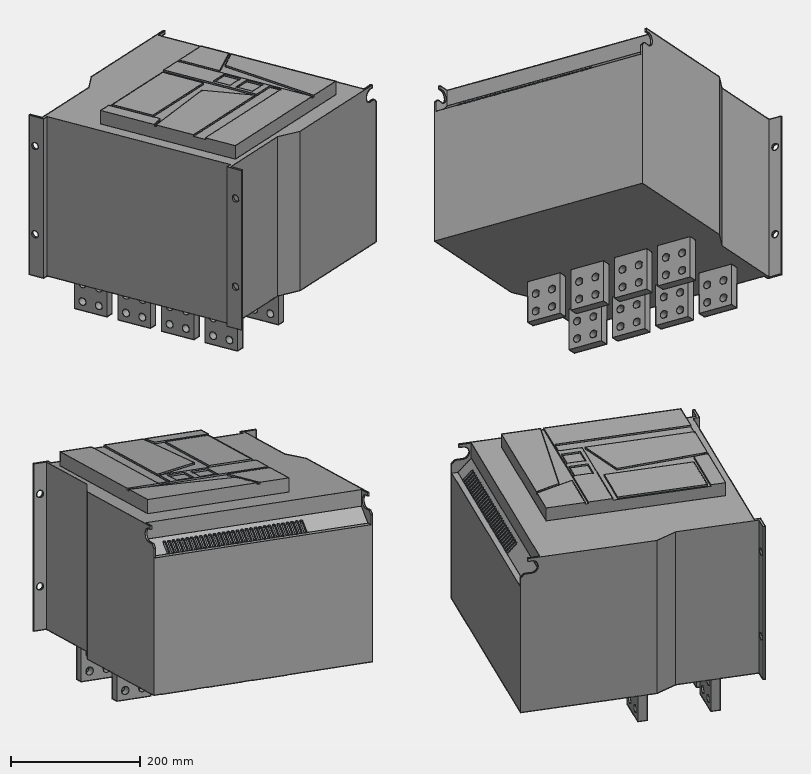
import cadquery as cq
import math


width = 390.0
depth = 394.0
height = 363.0

terminal_drop = 69.5
housing_height = 270.5
housing_top = terminal_drop + housing_height
rear_width = 383.8
front_width = 346.7
taper_front_y = 138.3
taper_rear_y = 174.0

flange_thickness = 4.0
bracket_wall = 5.0
bracket_projection = 10.2
flange_hole_diameter = 12.0
flange_hole_spacing = 368.5
flange_hole_heights = (140.3, 290.0)

side_wall = 3.0
recess_front_y = 362.5
ledge_front_y = 384.0
notch_lip = 5.0
notch_width = 21.5
notch_center_y = 376.3
lip_end_y = 382.0
notch_chamfer = 6.0
notch_floor_z = housing_top - notch_lip - notch_width
slope_run = ledge_front_y - recess_front_y
ledge_z = notch_floor_z - slope_run

vent_count = 31
vent_pitch = 8.0
vent_width = 5.0
vent_length = 23.0
vent_depth = 4.0

terminal_width = 60.0
terminal_thickness = 15.5
terminal_pitch = 80.0
terminals_per_row = 4
terminal_row_fronts = (59.5, 177.3)
terminal_hole_diameter = 12.5
terminal_hole_pitch = 30.0
terminal_hole_center_z = 30.5

panel_left = -83.5
panel_right = 164.0
panel_front = 31.5
panel_rear = 321.0
panel_base_height = 20.0
panel_base_top = housing_top + panel_base_height
plate_height = height - panel_base_top
panel_center_x = (panel_left + panel_right) / 2

rear_plates_front = 257.5
middle_plate_rear = 253.0
middle_plate_front = 213.0
channel_left = 87.0
channel_right = 108.7
channel_rear = 251.5
channel_corner_radius = 3.5
display_left, display_right = -80.8, -5.5
display_front, display_rear = 60.0, 205.0
window_size = 30.5
window_lefts = (4.0, 45.5)
window_front = 219.5
window_rear = window_front + window_size
front_left_plate_rear = 55.0
rear_left_outline = [
    (panel_left, panel_rear),
    (-32.7, panel_rear),
    (-9.5, rear_plates_front),
    (panel_left, rear_plates_front),
]
rear_right_outline = [
    (-29.0, panel_rear),
    (-13.5, 279.7),
    (panel_right, rear_plates_front),
    (panel_right, panel_rear),
]
front_center_outline = [
    (channel_left, 209.0),
    (7.5, 180.5),
    (18.0, panel_front),
    (channel_left, panel_front),
]
front_left_outline = [
    (panel_left, front_left_plate_rear),
    (10.5, front_left_plate_rear),
    (15.0, panel_front),
    (panel_left, panel_front),
]
plate_outlines = (rear_left_outline, rear_right_outline, front_center_outline, front_left_outline)


def box(x_range, y_range, z_range):
    """Box spanning the given (low, high) ranges."""
    sizes = [high - low for low, high in (x_range, y_range, z_range)]
    corner = (x_range[0], y_range[0], z_range[0])
    return cq.Workplane("XY").box(*sizes, centered=False).translate(corner)


def make_housing():
    """Tapered housing with an outward flange at each front corner."""
    half_rear = rear_width / 2
    half_front = front_width / 2
    half_inner = half_front - bracket_wall
    right_half = [
        (0, bracket_projection),
        (half_inner, bracket_projection),
        (half_inner, 0),
        (width / 2, 0),
        (width / 2, flange_thickness),
        (half_front, flange_thickness),
        (half_front, taper_front_y),
        (half_rear, taper_rear_y),
        (half_rear, depth),
        (0, depth),
    ]
    return (
        cq.Workplane("XY", origin=(0, 0, terminal_drop))
        .polyline(right_half)
        .mirrorY()
        .extrude(housing_height)
    )


def make_flange_holes():
    """Cutter for the mounting holes through the front flanges."""
    points = [(side * flange_hole_spacing / 2, z) for side in (-1, 1) for z in flange_hole_heights]
    return (
        cq.Workplane("XZ")
        .pushPoints(points)
        .circle(flange_hole_diameter / 2)
        .extrude(-flange_thickness)
    )


def make_rear_recess():
    """Cutter between the side walls: upright face, 45 degree slope and rear ledge."""
    half_length = rear_width / 2 - side_wall
    profile = [
        (recess_front_y, housing_top),
        (recess_front_y, notch_floor_z),
        (ledge_front_y, ledge_z),
        (depth, ledge_z),
        (depth, housing_top),
    ]
    return cq.Workplane("YZ").polyline(profile).close().extrude(half_length, both=True)


def make_side_notch():
    """Cutter for the round-ended notch and chamfer at the rear top of both side walls."""
    notch_top_z = housing_top - notch_lip
    radius = notch_width / 2
    return (
        cq.Workplane("YZ")
        .moveTo(lip_end_y, housing_top)
        .lineTo(lip_end_y, notch_top_z)
        .lineTo(notch_center_y, notch_top_z)
        .threePointArc((notch_center_y - radius, notch_top_z - radius), (notch_center_y, notch_floor_z))
        .lineTo(depth - notch_chamfer, notch_floor_z)
        .lineTo(depth, notch_floor_z - notch_chamfer)
        .lineTo(depth, housing_top)
        .close()
        .extrude(width / 2, both=True)
    )


def make_vents():
    """Cutter for the row of vent slots, sunk square to the slope."""
    slope_length = slope_run * math.sqrt(2)
    slope_plane = cq.Plane(
        origin=(panel_center_x, recess_front_y, notch_floor_z),
        xDir=(1, 0, 0),
        normal=(0, 1, 1),
    )
    return (
        cq.Workplane(slope_plane)
        .center(0, slope_length - vent_length / 2)
        .rarray(vent_pitch, 4, vent_count, 1)
        .slot2D(vent_length, vent_width, 90)
        .extrude(-vent_depth)
    )


def make_terminals():
    """Two rows of flat terminal bars, each drilled with a square of four holes."""
    row_span = (terminals_per_row - 1) * terminal_pitch
    centers = [i * terminal_pitch - row_span / 2 for i in range(terminals_per_row)]
    bars = cq.Workplane("XY")
    for row_front in terminal_row_fronts:
        y_range = (row_front, row_front + terminal_thickness)
        for center_x in centers:
            x_range = (center_x - terminal_width / 2, center_x + terminal_width / 2)
            holes = (
                cq.Workplane("XZ", origin=(center_x, row_front, terminal_hole_center_z))
                .rect(terminal_hole_pitch, terminal_hole_pitch, forConstruction=True)
                .vertices()
                .circle(terminal_hole_diameter / 2)
                .extrude(-terminal_thickness)
            )
            bars = bars.union(box(x_range, y_range, (0, terminal_drop)).cut(holes))
    return bars


def make_panel_base():
    """Rectangular base of the control panel."""
    return box((panel_left, panel_right), (panel_front, panel_rear), (housing_top, panel_base_top))


def raised_plate(points):
    """Thin plate with the given outline, standing on the panel base."""
    return cq.Workplane("XY", origin=(0, 0, panel_base_top)).polyline(points).close().extrude(plate_height)


def raised_rectangle(left, right, front, rear):
    """Rectangular thin plate standing on the panel base."""
    return box((left, right), (front, rear), (panel_base_top, height))


def make_middle_plate():
    """L-shaped plate with two square windows and a round-cornered channel open to the front."""
    plate = raised_rectangle(panel_left, channel_left, middle_plate_front, middle_plate_rear)
    plate = plate.union(raised_rectangle(channel_left, panel_right, panel_front, middle_plate_rear))
    channel = (
        raised_rectangle(channel_left, channel_right, panel_front, channel_rear)
        .edges("|Z and >Y")
        .fillet(channel_corner_radius)
    )
    plate = plate.cut(channel)
    for left in window_lefts:
        plate = plate.cut(raised_rectangle(left, left + window_size, window_front, window_rear))
    return plate


def make_raised_plates():
    """All raised plates of the control panel, separated by narrow grooves."""
    plates = [raised_plate(outline) for outline in plate_outlines]
    plates.append(make_middle_plate())
    plates.append(raised_rectangle(display_left, display_right, display_front, display_rear))
    return plates


result = make_housing()
for cutter in (make_flange_holes(), make_rear_recess(), make_side_notch(), make_vents()):
    result = result.cut(cutter)
for addition in (make_terminals(), make_panel_base(), *make_raised_plates()):
    result = result.union(addition)